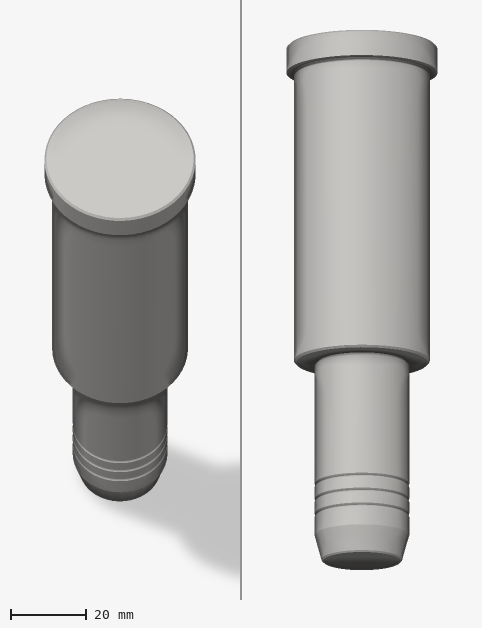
import cadquery as cq

total_length = 140.0
head_diameter = 40.0
head_height = 7.0
head_chamfer = 0.5
body_diameter = 36.0
body_bottom = 54.0
body_chamfer = 0.5
stem_diameter = 25.0
stem_taper_height = 1.0
stem_taper_depth = 0.8
tip_length = 7.0
tip_diameter = 21.4
tip_chamfer = 0.4

relief_width = 1.0
relief_depth = 0.5

groove_count = 3
groove_width = 1.0
groove_depth = 0.49
groove_pitch = 4.0
lowest_groove_center = 12.5

head_radius = head_diameter / 2
body_radius = body_diameter / 2
stem_radius = stem_diameter / 2
tip_radius = tip_diameter / 2
head_bottom = total_length - head_height


def revolve_profile(half_profile):
    """Turn a closed outline of (radius, height) points about the Z axis."""
    return cq.Workplane("XZ").polyline(half_profile).close().revolve(360, (0, 0), (0, 1))


def pin_blank():
    """Pin with a chamfered conical tip, stem, body and head."""
    return revolve_profile([
        (0, 0),
        (tip_radius - tip_chamfer, 0),
        (tip_radius, tip_chamfer),
        (stem_radius, tip_length),
        (stem_radius, body_bottom - stem_taper_height),
        (stem_radius - stem_taper_depth, body_bottom),
        (body_radius - body_chamfer, body_bottom),
        (body_radius, body_bottom + body_chamfer),
        (body_radius, head_bottom),
        (head_radius, head_bottom),
        (head_radius, total_length - head_chamfer),
        (head_radius - head_chamfer, total_length),
        (0, total_length),
    ])


def v_groove(radius, center_height, width, depth):
    """V-shaped ring to cut into a shaft of the given radius."""
    outer_radius = radius + depth
    return revolve_profile([
        (radius - depth, center_height),
        (radius, center_height - width / 2),
        (outer_radius, center_height - width / 2),
        (outer_radius, center_height + width / 2),
        (radius, center_height + width / 2),
    ])


result = pin_blank()

result = result.cut(
    v_groove(body_radius, head_bottom - relief_width / 2, relief_width, relief_depth)
)

for index in range(groove_count):
    groove_center = lowest_groove_center + index * groove_pitch
    result = result.cut(v_groove(stem_radius, groove_center, groove_width, groove_depth))